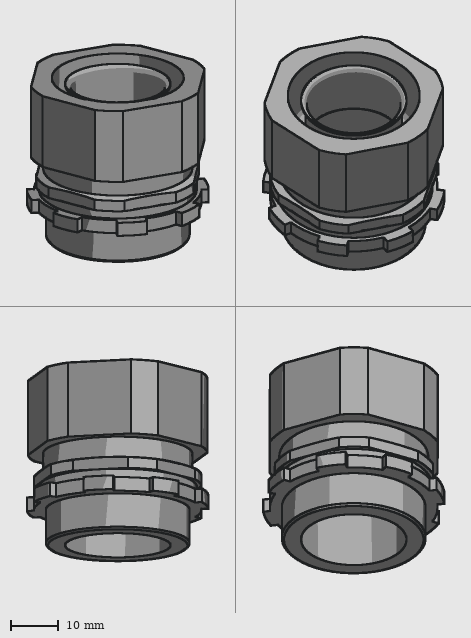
import cadquery as cq
import math


thread_chamfer = 0.45
locknut_bottom = 7.6
locknut_top = 10.5
flange_bottom = 12.52
flange_shoulder = 14.87
flange_top = 15.3
cap_bottom = 19.6
cap_top = 35.5

thread_radius = 15.02
washer_radius = 16.5
neck_radius = 15.6

flange_half_flats = 16.5
flange_corner_radius = 17.53
cap_half_flats = 17.53
cap_corner_radius = 18.78

locknut_radius = 17.5
lug_tip_radius = 18.97
lug_width = 6.25
lug_count = 8

passage_radius = 11.0
recess_radius = 13.77
sleeve_bore_radius = 9.8
sleeve_thickness = 0.3
sleeve_outer_radius = sleeve_bore_radius + sleeve_thickness
lip_depth = 1.2
sleeve_top = cap_top - lip_depth
lip_round = 1.2
lip_edge_radius = sleeve_bore_radius + lip_round
lip_round_z = sleeve_top - lip_round
fold_center_z = 24.32
fold_center_radius = (recess_radius + sleeve_outer_radius) / 2
fold_inner_round = fold_center_radius - sleeve_outer_radius
fold_outer_round = fold_inner_round + sleeve_thickness


def cylinder(radius, bottom, top):
    return cq.Workplane("XY").workplane(offset=bottom).circle(radius).extrude(top - bottom)


def rounded_hexagon(half_flats, corner_radius, bottom, top):
    """Hexagonal prism with flats facing +Y and -Y and turned corners."""
    corner_diameter = 2 * half_flats / math.cos(math.pi / 6)
    prism = cq.Workplane("XY").workplane(offset=bottom).polygon(6, corner_diameter).extrude(top - bottom)
    return prism.intersect(cylinder(corner_radius, bottom, top))


def make_thread():
    return cylinder(thread_radius, 0, locknut_bottom).faces("<Z").chamfer(thread_chamfer)


def make_locknut():
    height = locknut_top - locknut_bottom
    locknut = cylinder(locknut_radius, locknut_bottom, locknut_top)
    rim = cylinder(lug_tip_radius, locknut_bottom, locknut_top)
    bar = (
        cq.Workplane("XY")
        .workplane(offset=locknut_bottom)
        .rect(2 * lug_tip_radius, lug_width)
        .extrude(height)
        .intersect(rim)
    )
    for index in range(lug_count // 2):
        angle = index * 360 / lug_count
        locknut = locknut.union(bar.rotate((0, 0, 0), (0, 0, 1), angle))
    return locknut


def make_flange():
    """Hexagonal flange whose top slopes down from the neck to the corners."""
    hexagon = rounded_hexagon(flange_half_flats, flange_corner_radius, flange_bottom, flange_top)
    envelope = (
        cq.Workplane("XZ")
        .moveTo(0, flange_bottom)
        .lineTo(flange_corner_radius, flange_bottom)
        .lineTo(flange_corner_radius, flange_shoulder)
        .lineTo(neck_radius, flange_top)
        .lineTo(0, flange_top)
        .close()
        .revolve(360, (0, 0), (0, 1))
    )
    return hexagon.intersect(envelope)


def circle_point(center_r, center_z, radius, degrees):
    """Point at an angle on a circle in the radial half-plane."""
    angle = math.radians(degrees)
    return (center_r + radius * math.cos(angle), center_z + radius * math.sin(angle))


def make_recess():
    """Recess in the cap: open above the lip, then a round-bottomed groove around the sleeve."""
    under_lip_round = lip_round - sleeve_thickness
    return (
        cq.Workplane("XZ")
        .moveTo(0, cap_top)
        .lineTo(recess_radius, cap_top)
        .lineTo(recess_radius, fold_center_z)
        .threePointArc(
            (fold_center_radius, fold_center_z - fold_inner_round),
            (sleeve_outer_radius, fold_center_z),
        )
        .lineTo(sleeve_outer_radius, lip_round_z)
        .threePointArc(
            circle_point(lip_edge_radius, lip_round_z, under_lip_round, 135),
            (lip_edge_radius, lip_round_z + under_lip_round),
        )
        .lineTo(lip_edge_radius, sleeve_top)
        .lineTo(0, sleeve_top)
        .close()
        .revolve(360, (0, 0), (0, 1))
    )


def make_passage():
    """Through passage: plain bore, flared sleeve foot, sleeve bore and rounded lip."""
    foot_angle = 180 + math.degrees(math.acos((fold_center_radius - passage_radius) / fold_outer_round))
    return (
        cq.Workplane("XZ")
        .lineTo(passage_radius, 0)
        .lineTo(*circle_point(fold_center_radius, fold_center_z, fold_outer_round, foot_angle))
        .threePointArc(
            circle_point(fold_center_radius, fold_center_z, fold_outer_round, (180 + foot_angle) / 2),
            (sleeve_bore_radius, fold_center_z),
        )
        .lineTo(sleeve_bore_radius, lip_round_z)
        .threePointArc(
            circle_point(lip_edge_radius, lip_round_z, lip_round, 135),
            (lip_edge_radius, sleeve_top),
        )
        .lineTo(0, sleeve_top)
        .close()
        .revolve(360, (0, 0), (0, 1))
    )


body = (
    make_thread()
    .union(make_locknut())
    .union(cylinder(washer_radius, locknut_top, flange_bottom))
    .union(make_flange())
    .union(cylinder(neck_radius, flange_top, cap_bottom))
    .union(rounded_hexagon(cap_half_flats, cap_corner_radius, cap_bottom, cap_top))
)

result = body.cut(make_recess()).cut(make_passage())